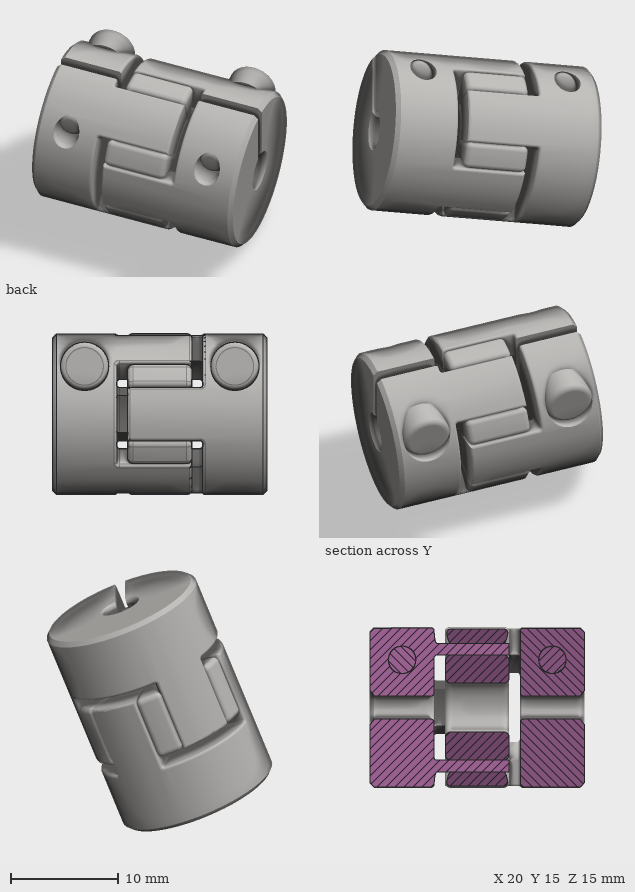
import cadquery as cq
import math


outer_radius = 7.5
half_length = 10.0
hub_face_x = 4.0
end_chamfer = 0.4
bore_radius = 1.5
slot_width = 1.0

jaw_count = 3
jaw_tip_x = 3.0
core_radius = 5.0
jaw_angle = 40.0
jaw_pitch = 360.0 / jaw_count
leg_angle = jaw_pitch / 2 - jaw_angle
jaw_edge_radius = 0.25
gap_cut_radius = outer_radius + 1.0
left_jaw_start = 0.0
right_jaw_start = left_jaw_start + jaw_pitch / 2

spider_half_width = jaw_tip_x
spider_bore_radius = 2.5
spider_edge_radius = 0.5
leg_count = 2 * jaw_count
first_leg_angle = jaw_pitch / 4

screw_x = 7.0
screw_z = 4.45
screw_radius = 1.25
head_radius = 2.25
head_seat_y = 4.0
head_height = 2.5
screw_length = 9.0
screw_edge_radius = 0.5

tolerance = 1e-3


def polar(radius, angle):
    """Point in the YZ plane at an angle from +Y towards +Z."""
    return radius * math.cos(math.radians(angle)), radius * math.sin(math.radians(angle))


def ring_sector(inner, outer, middle, width, x_start, x_end):
    """Sector of a ring with radial sides, centred on the angle `middle`."""
    low = middle - width / 2
    high = middle + width / 2
    return (
        cq.Workplane("YZ", origin=(x_start, 0, 0))
        .moveTo(*polar(inner, low))
        .lineTo(*polar(outer, low))
        .threePointArc(polar(outer, middle), polar(outer, high))
        .lineTo(*polar(inner, high))
        .threePointArc(polar(inner, middle), polar(inner, low))
        .close()
        .extrude(x_end - x_start)
    )


def axial_cylinder(radius, x_start, x_end):
    return cq.Workplane("YZ", origin=(x_start, 0, 0)).circle(radius).extrude(x_end - x_start)


def cross_cylinder(radius, x, y_start, y_end):
    """Cylinder parallel to Y on a clamp screw axis."""
    base = cq.Plane(origin=(x, y_start, screw_z), xDir=(1, 0, 0), normal=(0, 1, 0))
    return cq.Workplane(base).circle(radius).extrude(y_end - y_start)


def axis_distance(point):
    return math.hypot(point.y, point.z)


def is_inner_face_edge(edge):
    """Edge of the hub's inner face inside the outer surface: the jaw roots and the bore mouth."""
    middle = edge.positionAt(0.5)
    return abs(middle.x + hub_face_x) < tolerance and axis_distance(middle) < outer_radius - tolerance


def is_outer_rim(edge):
    """Edge on the outer surface around the jaws and the hub's inner face."""
    points = [edge.positionAt(t) for t in (0, 0.5, 1)]
    on_surface = all(abs(axis_distance(p) - outer_radius) < tolerance for p in points)
    return on_surface and points[1].x > -half_length / 2


def make_hub(jaw_start):
    """Hub on the -X side, with its jaws pointing to +X."""
    hub = axial_cylinder(outer_radius, -half_length, jaw_tip_x).faces("<X").chamfer(end_chamfer)
    hub = hub.cut(axial_cylinder(core_radius, -hub_face_x, jaw_tip_x))
    for i in range(jaw_count):
        gap_middle = jaw_start + (i + 0.5) * jaw_pitch
        hub = hub.cut(
            ring_sector(
                spider_bore_radius, gap_cut_radius, gap_middle, jaw_pitch - jaw_angle, -hub_face_x, jaw_tip_x
            )
        )
    hub = hub.cut(axial_cylinder(bore_radius, -half_length, -hub_face_x))
    rounded_edges = [edge for edge in hub.edges().vals() if is_inner_face_edge(edge) or is_outer_rim(edge)]
    hub = hub.newObject(rounded_edges).fillet(jaw_edge_radius)

    bore_mouth = (
        cq.Workplane("YZ", origin=(-half_length, 0, 0))
        .circle(bore_radius + end_chamfer)
        .workplane(offset=end_chamfer)
        .circle(bore_radius)
        .loft()
    )
    slot = cq.Workplane("XY").box(
        half_length - hub_face_x, slot_width, outer_radius, centered=(False, True, False)
    ).translate((-half_length, 0, 0))
    screw_hole = cross_cylinder(screw_radius, -screw_x, -outer_radius, head_seat_y)
    head_pocket = cross_cylinder(head_radius, -screw_x, head_seat_y, outer_radius)
    return hub.cut(bore_mouth).cut(slot).cut(screw_hole).cut(head_pocket)


def make_spider():
    spider = axial_cylinder(core_radius, -spider_half_width, spider_half_width)
    for i in range(leg_count):
        angle = first_leg_angle + i * jaw_pitch / 2
        spider = spider.union(
            ring_sector(
                spider_bore_radius, outer_radius, angle, leg_angle, -spider_half_width, spider_half_width
            )
        )
    spider = spider.cut(axial_cylinder(spider_bore_radius, -spider_half_width, spider_half_width))
    tip_edges = [
        edge
        for edge in spider.edges("|X").vals()
        if axis_distance(edge.positionAt(0.5)) > outer_radius - tolerance
    ]
    spider = spider.newObject(tip_edges).fillet(spider_edge_radius)
    return spider.faces("<X or >X").edges().fillet(spider_edge_radius)


def make_screw(x):
    shank = cross_cylinder(screw_radius, x, head_seat_y - screw_length, head_seat_y)
    head = cross_cylinder(head_radius, x, head_seat_y, head_seat_y + head_height)
    return shank.faces("<Y").edges().fillet(screw_edge_radius).union(
        head.faces(">Y").edges().fillet(screw_edge_radius)
    )


left_hub = make_hub(left_jaw_start)
right_hub = make_hub(right_jaw_start).mirror("YZ")
spider = make_spider()
screws = [make_screw(x) for x in (-screw_x, screw_x)]

result = cq.Compound.makeCompound(
    [left_hub.val(), right_hub.val(), spider.val(), *[screw.val() for screw in screws]]
)